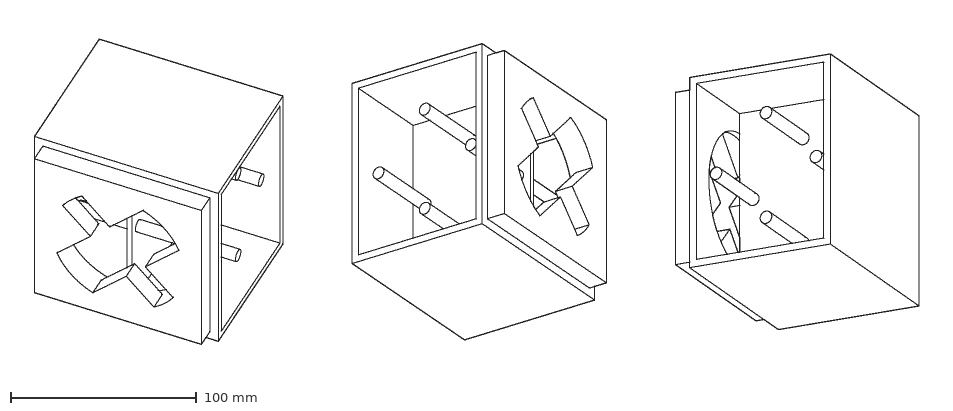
import cadquery as cq

box_width = 108.8
box_depth = 84.5
box_height = 109.1
wall = 4.1
web_thickness = 2.8

plate_side = 98.8
plate_thickness = 11.0

opening_radius = 39.0
wide_bar = 30.0
narrow_bar = 16.0
cross_tilt = 45.0

rod_count = 4
rod_diameter = 7.0
rod_length = 94.0
rod_offset = 30.0

front_face = -box_depth / 2


def make_frame():
    """Rectangular tube along X with a divider across its middle."""
    outer = cq.Workplane("XY").box(box_width, box_depth, box_height)
    bore = cq.Workplane("XY").box(box_width, box_depth - 2 * wall, box_height - 2 * wall)
    divider = cq.Workplane("XY").box(web_thickness, box_depth - wall, box_height - wall)
    return outer.cut(bore).union(divider)


def make_plate():
    """Plate on the front wall, pointing toward -Y."""
    return (
        cq.Workplane("XZ", origin=(0, front_face, 0))
        .rect(plate_side, plate_side)
        .extrude(plate_thickness)
    )


def make_opening():
    """Cutter for the cross in the plate and the round hole in the wall behind it."""
    plane = cq.Workplane("XZ", origin=(0, front_face, 0))
    length = 2 * opening_radius
    wide = plane.rect(length, wide_bar).extrude(plate_thickness)
    narrow = plane.rect(narrow_bar, length).extrude(plate_thickness)
    disc = plane.circle(opening_radius).extrude(plate_thickness)
    cross = wide.union(narrow).intersect(disc)
    cross = cross.rotate((0, 0, 0), (0, -1, 0), cross_tilt)
    wall_hole = plane.circle(opening_radius).extrude(-wall)
    return cross.union(wall_hole)


def make_rods():
    """Rods above, below, in front of and behind the centre line."""
    return (
        cq.Workplane("YZ", origin=(-rod_length / 2, 0, 0))
        .polarArray(rod_offset, 0, 360, rod_count)
        .circle(rod_diameter / 2)
        .extrude(rod_length)
    )


result = make_frame().union(make_plate()).cut(make_opening()).union(make_rods())